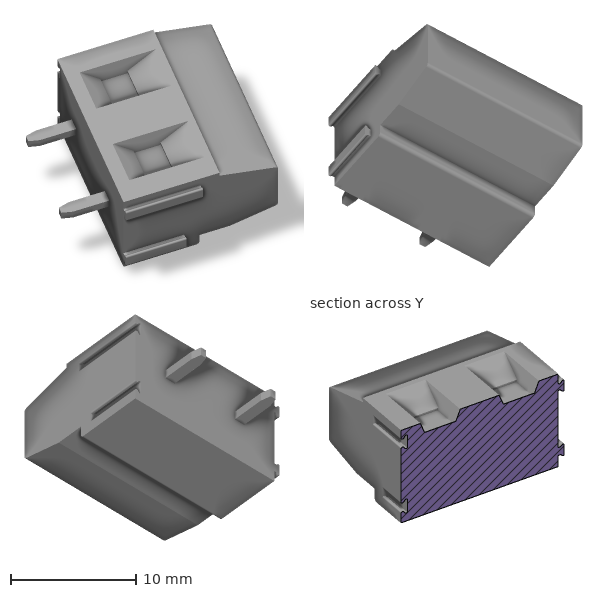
import cadquery as cq
import math


body_width = 15.0
body_depth = 13.2
body_height = 8.9
top_land_depth = 8.2
top_step = 0.4
back_top_z = 7.23
back_bottom_z = 2.08
back_edge_radius = 0.3
rear_underside_z = 1.17
underside_slope_start_y = 9.1
foot_depth = 6.48
foot_radius = 0.3

pole_pitch = 7.5
pole_centers = [(body_width - pole_pitch) / 2, (body_width + pole_pitch) / 2]

funnel_width = 3.78
funnel_floor_width = 2.7
funnel_front_y = 1.2
funnel_back_y = 7.7
funnel_depth = 1.3
throat_front_y = 2.8
throat_back_y = 5.11
throat_height = 0.2

pin_width = 1.0
pin_thickness = 0.8
pin_length = 4.0
pin_tip_width = 0.55
pin_tip_length = 0.92
pin_root = 0.5

upper_joint_z = 7.615
lower_joint_z = 1.465
tab_end_clearance = 0.14

groove_depth = 0.61
groove_mouth_radius = 0.12
groove_neck_end = 0.25
groove_flare_end = 0.42
upper_groove_neck = 0.74
upper_groove_head = 1.22
upper_groove_length = 6.72
lower_groove_neck = 0.8
lower_groove_head = 1.28
lower_groove_length = 5.32

tab_depth = 0.58
tab_neck_end = 0.24
tab_flare_end = 0.37
tab_shoulder_drop = 0.04
tab_tip_drop = 0.12
upper_tab_neck = 0.62
upper_tab_head = 1.12
upper_tab_neck_sag = 0.08
lower_tab_neck = 0.8
lower_tab_head = 1.17
lower_tab_neck_sag = 0.01


def make_housing():
    """Side outline extruded across the width, with rounded back edges and foot edge."""
    outline = [
        (0, 0),
        (foot_depth, 0),
        (foot_depth, rear_underside_z),
        (underside_slope_start_y, rear_underside_z),
        (body_depth, back_bottom_z),
        (body_depth, back_top_z),
        (top_land_depth, body_height - top_step),
        (top_land_depth, body_height),
        (0, body_height),
    ]
    housing = cq.Workplane("YZ").polyline(outline).close().extrude(body_width)
    housing = housing.faces(">Y").edges("|X").fillet(back_edge_radius)
    foot_edge = cq.selectors.NearestToPointSelector((body_width / 2, foot_depth, 0))
    return housing.edges(foot_edge).fillet(foot_radius)


def make_funnel(center_x):
    """Wire opening: side walls taper to the floor, end slopes stop above it at a vertical throat."""
    floor_z = body_height - funnel_depth
    throat_z = floor_z + throat_height
    end_outline = [
        (funnel_front_y, body_height),
        (throat_front_y, throat_z),
        (throat_front_y, floor_z),
        (throat_back_y, floor_z),
        (throat_back_y, throat_z),
        (funnel_back_y, body_height),
    ]
    side_outline = [
        (center_x - funnel_width / 2, body_height),
        (center_x - funnel_floor_width / 2, floor_z),
        (center_x + funnel_floor_width / 2, floor_z),
        (center_x + funnel_width / 2, body_height),
    ]
    end_shape = cq.Workplane("YZ").polyline(end_outline).close().extrude(body_width)
    side_shape = cq.Workplane("XZ").polyline(side_outline).close().extrude(-body_depth)
    return end_shape.intersect(side_shape)


def make_pin(center_x):
    """Flat solder pin along -Y with a tapered tip, at mid height of the housing."""
    half_width = pin_width / 2
    half_tip = pin_tip_width / 2
    shoulder_y = pin_tip_length - pin_length
    outline = [
        (-half_width, pin_root),
        (-half_width, shoulder_y),
        (-half_tip, -pin_length),
        (half_tip, -pin_length),
        (half_width, shoulder_y),
        (half_width, pin_root),
    ]
    mid_plane = cq.Workplane("XY", origin=(center_x, 0, body_height / 2))
    return mid_plane.polyline(outline).close().extrude(pin_thickness / 2, both=True)


def make_groove(center_z, neck, head, length):
    """Dovetail groove cutter running along +Y from the pin face, with rounded mouth edges."""
    half_neck = neck / 2
    half_head = head / 2
    radius = groove_mouth_radius
    arc_mid = radius * (1 - math.sqrt(0.5))
    return (
        cq.Workplane("XZ", origin=(0, 0, center_z))
        .moveTo(0, half_neck + radius)
        .threePointArc((arc_mid, half_neck + arc_mid), (radius, half_neck))
        .lineTo(groove_neck_end, half_neck)
        .lineTo(groove_flare_end, half_head)
        .lineTo(groove_depth, half_head)
        .lineTo(groove_depth, -half_head)
        .lineTo(groove_flare_end, -half_head)
        .lineTo(groove_neck_end, -half_neck)
        .lineTo(radius, -half_neck)
        .threePointArc((arc_mid, -half_neck - arc_mid), (0, -half_neck - radius))
        .close()
        .extrude(-length)
    )


def make_tab(center_z, neck, head, neck_sag, groove_length):
    """Dovetail tab with a hollow neck and a rounded head, slightly shorter than its groove."""
    half_neck = neck / 2
    half_head = head / 2
    root = half_neck + neck_sag
    shoulder = half_head - tab_shoulder_drop
    tip = half_head - tab_tip_drop
    neck_mid = tab_neck_end / 2
    head_mid = (tab_flare_end + tab_depth) / 2
    return (
        cq.Workplane("XZ", origin=(body_width, 0, center_z))
        .moveTo(0, root)
        .threePointArc((neck_mid, half_neck), (tab_neck_end, root))
        .lineTo(tab_flare_end, shoulder)
        .threePointArc((head_mid, half_head), (tab_depth, tip))
        .lineTo(tab_depth, -tip)
        .threePointArc((head_mid, -half_head), (tab_flare_end, -shoulder))
        .lineTo(tab_neck_end, -root)
        .threePointArc((neck_mid, -half_neck), (0, -root))
        .close()
        .extrude(tab_end_clearance - groove_length)
    )


result = make_housing()

for pole_x in pole_centers:
    result = result.cut(make_funnel(pole_x)).union(make_pin(pole_x))

result = result.cut(make_groove(upper_joint_z, upper_groove_neck, upper_groove_head, upper_groove_length))
result = result.cut(make_groove(lower_joint_z, lower_groove_neck, lower_groove_head, lower_groove_length))

upper_tab = make_tab(upper_joint_z, upper_tab_neck, upper_tab_head, upper_tab_neck_sag, upper_groove_length)
lower_tab = make_tab(lower_joint_z, lower_tab_neck, lower_tab_head, lower_tab_neck_sag, lower_groove_length)
result = result.union(upper_tab).union(lower_tab)